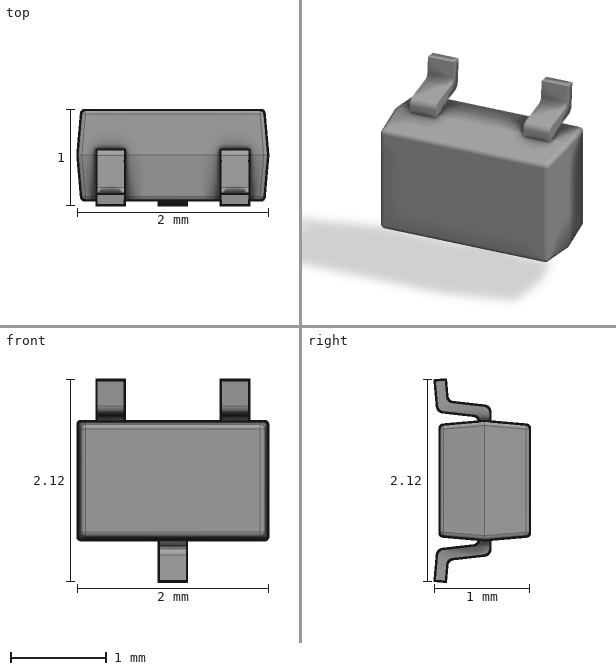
import cadquery as cq
import math

body_length = 2.0
body_height = 1.25
body_depth = 0.95
draft_angle = 5.0
edge_radius = 0.049

lead_width = 0.299
lead_thickness = 0.12
lead_spacing = 1.302
lead_tip_z = 1.06
lead_front_y = -0.525
shoulder_z = 0.778
slope_angle = 6.5
foot_angle = 5.0
inner_bend_radius = 0.06
outer_bend_radius = 0.075
lead_root_z = body_height / 2 - 0.105


def make_body():
    """Two tapered halves joined at Y = 0."""
    mid_plane = cq.Workplane("XZ").rect(body_length, body_height)
    front_half = mid_plane.extrude(body_depth / 2, taper=draft_angle)
    back_half = front_half.mirror("XZ")
    return front_half.union(back_half)


def round_body(body):
    """Round every edge except the parting line at Y = 0."""
    tolerance = 0.002
    rounded = [
        edge for edge in body.edges().vals()
        if abs(edge.Center().y) > tolerance
    ]
    return body.newObject(rounded).fillet(edge_radius)


def make_lead(center_x):
    """Gull-wing lead rising from the top of the body."""
    slope = math.tan(math.radians(slope_angle))
    lean = math.tan(math.radians(foot_angle))
    back_y = lead_thickness / 2
    drop = lead_thickness / math.cos(math.radians(slope_angle))

    tip_inner_y = lead_front_y + lead_thickness * math.cos(math.radians(foot_angle))
    tip_outer_z = lead_tip_z - lead_thickness * math.sin(math.radians(foot_angle))

    def upper_z(y):
        return shoulder_z + slope * (back_y - y)

    def foot_corner(tip_y, tip_z, offset):
        """Meet the leaning foot line with the sloped line lowered by offset."""
        y = (tip_y + lean * (tip_z - upper_z(0) + offset)) / (1 - lean * slope)
        return y, upper_z(y) - offset

    inner_foot = foot_corner(tip_inner_y, lead_tip_z, 0)
    outer_foot = foot_corner(lead_front_y, tip_outer_z, drop)
    shoulder = (back_y, shoulder_z)
    armpit = (-back_y, upper_z(-back_y) - drop)

    profile = [
        (back_y, lead_root_z), shoulder, inner_foot, (tip_inner_y, lead_tip_z),
        (lead_front_y, tip_outer_z), outer_foot, armpit, (-back_y, lead_root_z),
    ]
    lead = cq.Workplane("YZ").polyline(profile).close().extrude(lead_width / 2, both=True)
    bends = [
        (shoulder, outer_bend_radius), (inner_foot, inner_bend_radius),
        (outer_foot, outer_bend_radius), (armpit, inner_bend_radius),
    ]
    for (y, z), radius in bends:
        lead = lead.edges(cq.selectors.NearestToPointSelector((0, y, z))).fillet(radius)
    return lead.translate((center_x, 0, 0))


result = round_body(make_body())
for lead_x in (-lead_spacing / 2, lead_spacing / 2):
    result = result.union(make_lead(lead_x))
result = result.union(make_lead(0).mirror("XY"))